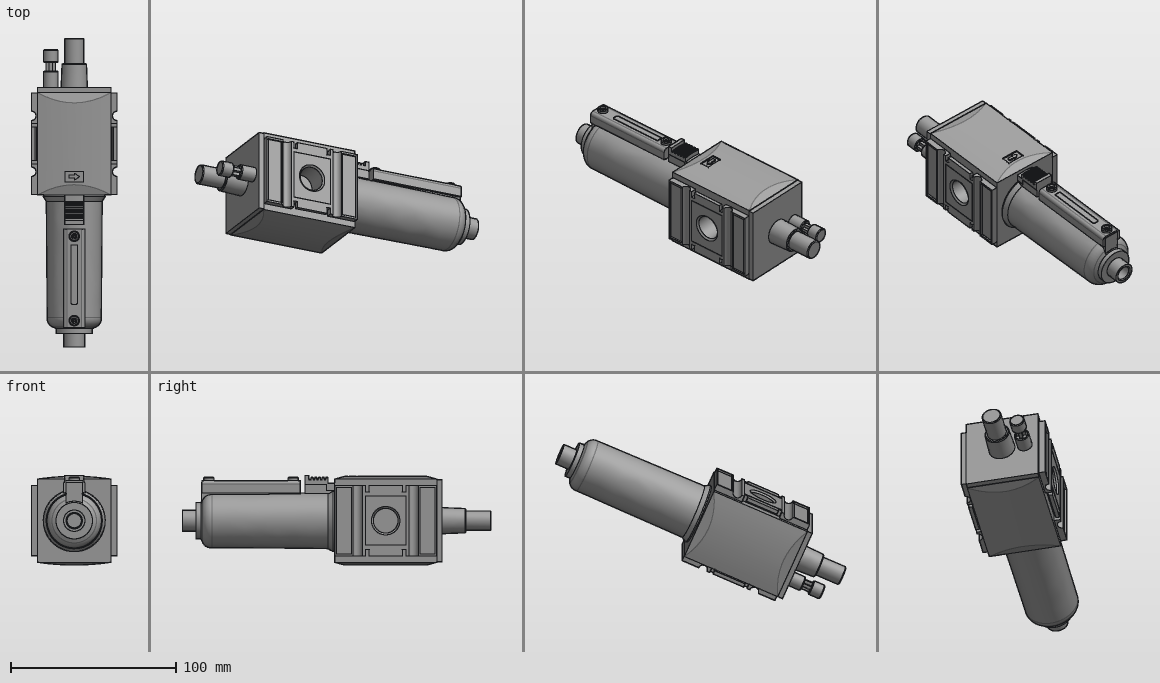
import cadquery as cq
import math


head_width = 44.3
head_length = 61.9
head_side_height = 50.5
head_crown_height = 53.9
crown_slope_length = 6.2
cap_width = 44.5
cap_height = 49.7
cap_thickness = 3.2

overall_width = 52.0
plate_height = 42.6
plate_setback = 0.2
groove_radius = 2.8
groove_spacing = 33.8
end_pocket_length = 9.2
end_pocket_height = 40.2
end_pocket_margin = 1.1
end_pocket_depth = 1.1
panel_length = 24.7
panel_height = 29.7
panel_depth = 0.2
slot_depth = 4.0
lip_length = 20.2
lip_edge_thickness = 2.2
lip_root_thickness = 3.2
port_diameter = 15.0
port_rim_diameter = 17.2
port_chamfer = 1.1
port_depth = 15.0

arrow_frame_length = 11.2
arrow_frame_width = 6.2
arrow_frame_y = 11.0
arrow_frame_depth = 1.0
arrow_length = 6.5
arrow_head_width = 4.0
arrow_head_length = 3.0
arrow_shaft_width = 1.9

rim_chamfer = 0.5
knob_end = 94.8
knob_step = 79.5
knob_diameter = 11.8
knob_base_end_diameter = 15.0
knob_base_root_diameter = 16.0
plug_x = -14.2
plug_diameter = 9.0
plug_neck_diameter = 6.0
plug_rib_thickness = 2.0
plug_end = 87.9
plug_neck_top = 80.2
plug_neck_bottom = 75.0

collar_neck_radius = 18.3
collar_diameter = 37.5
collar_widest_y = -1.0
collar_end_y = -4.0
bowl_top_radius = 17.0
bowl_bottom_radius = 16.5
bowl_round_start_y = -74.2
bowl_round_middle = (15.5, -78.0)
bowl_round_end = (13.5, -79.8)
drain_flange_diameter = 22.0
drain_flange_top_y = -81.0
drain_flange_end_y = -84.0
drain_pipe_diameter = 12.9
drain_end_y = -92.2
drain_hole_diameter = 8.6
drain_rim_diameter = 10.0
drain_hole_depth = 9.4

button_width = 11.8
button_end_y = -18.0
button_top = 27.5
button_lip_length = 2.5
shelf_length = 4.0
shelf_top = 23.0
button_bottom = 16.5
button_crown_radius = 37.4
ridge_count = 5
ridge_pitch = 2.2
ridge_width = 1.5
ridge_chamfer = 0.4
ridge_valley = 25.2
ridge_top = 26.4
relief_start_y = -4.9
relief_top = 21.9
relief_shelf_top = 18.3
relief_depth = 0.2

rail_width = 13.0
rail_start_y = -20.8
rail_end_y = -80.5
rail_bottom = 16.8
rail_top = 24.3
rail_fillet = 2.2
core_width = 9.7
core_bottom = 9.4
core_top = 23.2
core_overhang = 0.2
window_width = 4.0
window_start_y = -30.3
window_end_y = -66.4
window_corner = 1.1
window_depth = 0.4
screw_ys = (-25.0, -76.1)
screw_diameter = 6.4
screw_height = 2.0
screw_chamfer = 0.5
socket_rim_diameter = 3.4
socket_diameter = 1.9
socket_depth = 1.1
socket_flare_angle = 90


def box(x0, x1, y0, y1, z0, z1):
    """Box between two corners, given as pairs of limits along each axis."""
    size = (x1 - x0, y1 - y0, z1 - z0)
    return cq.Workplane("XY").box(*size, centered=False).translate((x0, y0, z0))


def turned(outline, x=0.0):
    """Solid of revolution about a line along Y, from (radius, y) points that start and end on it."""
    return cq.Workplane("XY").polyline(outline).close().revolve(360, (0, 0), (0, 1)).translate((x, 0, 0))


def crowned_block(width, side_height, crown_height, length):
    """Block along +Y whose upper and lower faces are arcs across X."""
    half_width = width / 2
    half_side = side_height / 2
    half_crown = crown_height / 2
    return (
        cq.Workplane("XZ")
        .moveTo(-half_width, -half_side)
        .threePointArc((0, -half_crown), (half_width, -half_side))
        .lineTo(half_width, half_side)
        .threePointArc((0, half_crown), (-half_width, half_side))
        .close()
        .extrude(-length)
    )


def head_core():
    """Crowned block with sloped crown ends and the flat cap on its far end."""
    half_side = head_side_height / 2
    half_crown = head_crown_height / 2
    slope_end = head_length - crown_slope_length
    side_outline = [
        (0, -half_side), (crown_slope_length, -half_crown), (slope_end, -half_crown),
        (head_length, -half_side), (head_length, half_side), (slope_end, half_crown),
        (crown_slope_length, half_crown), (0, half_side),
    ]
    slopes = cq.Workplane("YZ").polyline(side_outline).close().extrude(head_width, both=True)
    core = crowned_block(head_width, head_side_height, head_crown_height, head_length).intersect(slopes)
    cap = box(-cap_width / 2, cap_width / 2, head_length, head_length + cap_thickness,
              -cap_height / 2, cap_height / 2)
    return core.union(cap)


def side_plate():
    """Plate on the -X side, with vertical grooves, shallow pockets, slotted lips and a sunk panel."""
    outer = -overall_width / 2
    inner = -head_width / 2
    middle = head_length / 2
    half_height = plate_height / 2
    plate = box(outer, 0, plate_setback, head_length - plate_setback, -half_height, half_height)

    for side in (-1, 1):
        groove = (
            cq.Workplane("XY")
            .center(outer, middle + side * groove_spacing / 2)
            .circle(groove_radius)
            .extrude(plate_height, both=True)
        )
        plate = plate.cut(groove)

        pocket_middle = middle + side * (head_length / 2 - end_pocket_margin - end_pocket_length / 2)
        pocket = box(outer, outer + end_pocket_depth,
                     pocket_middle - end_pocket_length / 2, pocket_middle + end_pocket_length / 2,
                     -end_pocket_height / 2, end_pocket_height / 2)
        plate = plate.cut(pocket)

        edge_z = side * half_height
        root_z = side * (half_height - slot_depth)
        slot = box(outer, inner, middle - panel_length / 2, middle + panel_length / 2,
                   min(edge_z, root_z), max(edge_z, root_z))
        lip_outline = [
            (outer, root_z), (outer + lip_root_thickness, root_z),
            (outer + lip_edge_thickness, edge_z), (outer, edge_z),
        ]
        lip_start = (0, middle - lip_length / 2, 0)
        lip = cq.Workplane("XZ", origin=lip_start).polyline(lip_outline).close().extrude(-lip_length)
        plate = plate.cut(slot.cut(lip))

    panel = box(outer, outer + panel_depth, middle - panel_length / 2, middle + panel_length / 2,
                -panel_height / 2, panel_height / 2)
    return plate.cut(panel)


def port():
    """Chamfered blind port entering the -X side."""
    mouth = -overall_width / 2 + panel_depth
    outline = [
        (mouth, 0), (mouth, port_rim_diameter / 2), (mouth + port_chamfer, port_diameter / 2),
        (mouth + port_depth, port_diameter / 2), (mouth + port_depth, 0),
    ]
    hole = cq.Workplane("XY").polyline(outline).close().revolve(360, (0, 0), (1, 0))
    return hole.translate((0, head_length / 2, 0))


def flow_arrow():
    """Sunk frame around a raised arrow that points along +X."""
    floor = head_crown_height / 2 - arrow_frame_depth
    tip = arrow_length / 2
    neck = tip - arrow_head_length
    half_shaft = arrow_shaft_width / 2
    half_head = arrow_head_width / 2
    arrow_outline = [
        (-tip, -half_shaft), (neck, -half_shaft), (neck, -half_head), (tip, 0),
        (neck, half_head), (neck, half_shaft), (-tip, half_shaft),
    ]
    base = cq.Workplane("XY", origin=(0, arrow_frame_y, floor))
    frame = base.rect(arrow_frame_length, arrow_frame_width).extrude(arrow_frame_depth)
    arrow = base.polyline(arrow_outline).close().extrude(arrow_frame_depth)
    return frame.cut(arrow)


def knob():
    """Stepped adjusting knob on the head's axis."""
    root = head_length + cap_thickness
    top_radius = knob_diameter / 2
    base_radius = knob_base_end_diameter / 2
    return turned([
        (0, root), (knob_base_root_diameter / 2, root), (base_radius, knob_step - rim_chamfer),
        (base_radius - rim_chamfer, knob_step), (top_radius, knob_step),
        (top_radius, knob_end - rim_chamfer), (top_radius - rim_chamfer, knob_end), (0, knob_end),
    ])


def plug():
    """Filler plug beside the knob: two discs joined by a neck of crossed ribs."""
    root = head_length + cap_thickness
    radius = plug_diameter / 2
    rim = radius - rim_chamfer
    base = turned([
        (0, root), (radius, root), (radius, plug_neck_bottom - rim_chamfer),
        (rim, plug_neck_bottom), (0, plug_neck_bottom),
    ], plug_x)
    top = turned([
        (0, plug_neck_top), (rim, plug_neck_top), (radius, plug_neck_top + rim_chamfer),
        (radius, plug_end - rim_chamfer), (rim, plug_end), (0, plug_end),
    ], plug_x)
    neck_length = plug_neck_top - plug_neck_bottom
    neck = (
        cq.Workplane("XZ", origin=(plug_x, plug_neck_bottom, 0))
        .rect(plug_neck_diameter, plug_rib_thickness)
        .extrude(-neck_length)
        .union(
            cq.Workplane("XZ", origin=(plug_x, plug_neck_bottom, 0))
            .rect(plug_rib_thickness, plug_neck_diameter)
            .extrude(-neck_length)
        )
    )
    return base.union(neck).union(top)


def make_head():
    plate = side_plate()
    inlet = port()
    return (
        head_core()
        .union(plate)
        .union(plate.mirror("YZ"))
        .cut(inlet)
        .cut(inlet.mirror("YZ"))
        .cut(flow_arrow())
        .union(knob())
        .union(plug())
    )


def bowl_shell():
    """Turned bowl: collar, tapered wall, rounded end and drain connection with its blind hole."""
    flange_radius = drain_flange_diameter / 2
    pipe_radius = drain_pipe_diameter / 2
    outside = (
        cq.Workplane("XY")
        .moveTo(0, 0)
        .lineTo(collar_neck_radius, 0)
        .lineTo(collar_diameter / 2, collar_widest_y)
        .lineTo(bowl_top_radius, collar_end_y)
        .lineTo(bowl_bottom_radius, bowl_round_start_y)
        .threePointArc(bowl_round_middle, bowl_round_end)
        .lineTo(flange_radius, drain_flange_top_y)
        .lineTo(flange_radius, drain_flange_end_y)
        .lineTo(pipe_radius, drain_flange_end_y)
        .lineTo(pipe_radius, drain_end_y)
        .lineTo(0, drain_end_y)
        .close()
        .revolve(360, (0, 0), (0, 1))
    )
    hole_radius = drain_hole_diameter / 2
    rim_radius = drain_rim_diameter / 2
    hole_end = drain_end_y + drain_hole_depth
    hole = turned([
        (0, drain_end_y), (rim_radius, drain_end_y),
        (hole_radius, drain_end_y + rim_radius - hole_radius), (hole_radius, hole_end), (0, hole_end),
    ])
    return outside.cut(hole)


def arched_bar(y0, y1, bottom, top):
    """Bar of the button's width between two Y values, with a slightly arched top."""
    half_width = button_width / 2
    sag = button_crown_radius - math.sqrt(button_crown_radius**2 - half_width**2)
    return (
        cq.Workplane("XZ", origin=(0, y1, 0))
        .moveTo(-half_width, bottom)
        .lineTo(half_width, bottom)
        .lineTo(half_width, top - sag)
        .threePointArc((0, top), (-half_width, top - sag))
        .close()
        .extrude(y1 - y0)
    )


def button():
    """Release button with a low shelf, gripping ridges and a raised end lip."""
    half_width = button_width / 2
    body = arched_bar(button_end_y, -shelf_length, button_bottom, ridge_valley)
    body = body.union(arched_bar(-shelf_length, 0, button_bottom, shelf_top))
    body = body.union(box(-half_width, half_width, button_end_y, button_end_y + button_lip_length,
                          button_bottom, button_top))
    for index in range(ridge_count):
        ridge_y = -shelf_length - index * ridge_pitch
        ridge = arched_bar(ridge_y - ridge_width, ridge_y, button_bottom, ridge_top)
        body = body.union(ridge.faces(">Z").edges(">Y or <Y").chamfer(ridge_chamfer))
    relief = box(half_width - relief_depth, half_width, button_end_y, relief_start_y,
                 button_bottom, relief_top)
    relief = relief.union(box(half_width - relief_depth, half_width, relief_start_y, 0,
                              button_bottom, relief_shelf_top))
    return body.cut(relief).cut(relief.mirror("YZ"))


def rail_screw(y):
    """Chamfered screw head with a flared round socket, standing on the rail."""
    return (
        cq.Workplane("XY", origin=(0, y, rail_top))
        .circle(screw_diameter / 2)
        .extrude(screw_height)
        .faces(">Z")
        .chamfer(screw_chamfer)
        .faces(">Z")
        .workplane()
        .cskHole(socket_diameter, socket_rim_diameter, socket_flare_angle, socket_depth)
    )


def sight_rail():
    """Rounded rail with a narrower core reaching into the bowl, a sunk window and two screws."""
    half_width = rail_width / 2
    half_core = core_width / 2
    rail = box(-half_width, half_width, rail_end_y, rail_start_y, rail_bottom, rail_top)
    rail = rail.edges("|Y and >Z").fillet(rail_fillet)
    core = box(-half_core, half_core, rail_end_y - core_overhang, rail_start_y, core_bottom, core_top)
    window = box(-window_width / 2, window_width / 2, window_end_y, window_start_y,
                 rail_top - window_depth, rail_top)
    window = window.edges("|Z and <Y").fillet(window_corner)
    rail = rail.union(core).cut(window)
    for screw_y in screw_ys:
        rail = rail.union(rail_screw(screw_y))
    return rail


def make_bowl():
    return bowl_shell().union(button()).union(sight_rail())


head = make_head()
bowl = make_bowl()

result = cq.Compound.makeCompound([head.val(), bowl.val()])